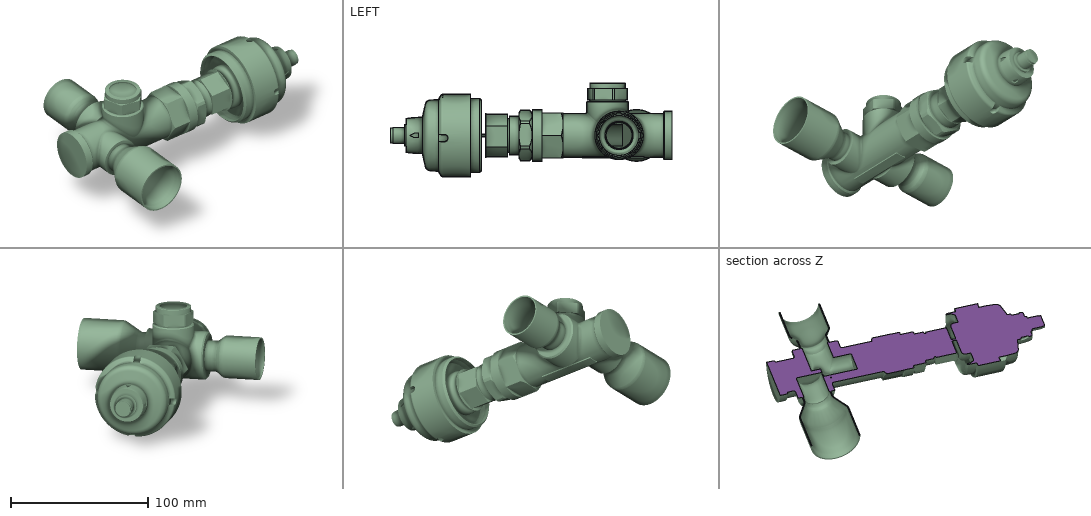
import cadquery as cq
import math

TOTAL_LENGTH = 205.5

BODY_RADIUS = 16.0
END_CAP_RADIUS = 17.7
END_CAP_HEIGHT = 6.4
END_CAP_CHAMFER = 0.8
PAD_WIDTH = 8.2
PAD_BOTTOM = -16.5
PAD_START_Y = 20.3
PAD_END_Y = 65.3

BODY_HEX_START_Y = 79.7
BODY_HEX_CORNER_RADIUS = 19.1
BODY_HEX_CHAMFER_RADIUS = 17.0
COLLAR_START_Y = 94.7
COLLAR_RADIUS = 19.0
LOCK_NUT_START_Y = 102.0
LOCK_NUT_CORNER_RADIUS = 19.1
LOCK_NUT_ANGLE = 1.3
LOCK_NUT_OUTER_RADIUS = 18.5
LOCK_NUT_CHAMFER_RADIUS = 16.5
NECK_START_Y = 111.8
NECK_RADIUS = 14.2
GROOVE_START_Y = 118.8
GROOVE_RADIUS = 12.5
TOP_HEX_START_Y = 120.0
TOP_HEX_END_Y = 136.0
TOP_HEX_CORNER_RADIUS = 15.6
TOP_HEX_ANGLE = 3.3
WASHER_RADIUS = 16.0
WASHER_THICKNESS = 0.3
HEX_HALF_ANGLE = 30
NUT_CHAMFER_ANGLE = 30
CHAMFER_SLOPE = math.tan(math.radians(NUT_CHAMFER_ANGLE))

HEAD_START_Y = 139.0
RIM_RADIUS = 27.1
RIM_CHAMFER = 1.5
RING_START_Y = 147.0
RING_RADIUS = 30.2
RING_SHOULDER_Y = 167.0
RING_BEVEL_RADIUS = 29.0
RING_BEVEL_Y = 169.0
RING_END_Y = 170.5
DOME_BASE_RADIUS = 26.3
DOME_SIDE_RADIUS = 25.9
DOME_SIDE_END_Y = 176.3
DOME_SHOULDER_RADIUS = 22.5
DOME_SHOULDER_Y = 180.2
GLAND_START_Y = 182.3
GLAND_RADIUS = 13.4
GLAND_STRAIGHT_END_Y = 185.4
GLAND_END_Y = 194.0
GLAND_END_RADIUS = 12.3
GLAND_BULGE = 0.2
CABLE_FLANGE_RADIUS = 7.8
CABLE_FLANGE_END_Y = 195.5
CABLE_RADIUS = 6.0
CABLE_TIP_RADIUS = 5.5
CABLE_TIP_LENGTH = 1.8
HEAD_BORE_RADIUS = 23.6
HEAD_BORE_END_Y = 145.5
HEAD_MOUTH_RADIUS = 25.5
HEAD_MOUTH_END_Y = 142.8
INNER_COLLAR_RADIUS = 16.5
INNER_COLLAR_START_Y = 139.1
INNER_COLLAR_FILLET = 3.0
SPINDLE_RADIUS = 1.0
NOTCH_WIDTH = 5.1
NOTCH_END_Y = 163.5
NOTCH_ANGLE = 4.0
MARK_HALF_WIDTH = 1.6
MARK_START_Y = 185.2
MARK_SHOULDER_Y = 188.0
MARK_TIP_Y = 191.3
MARK_FLOOR_RADIUS = 12.0
MARKS_AROUND_HEAD = 4

LEFT_Y = 38.6
LEFT_BOSS_RADIUS = 17.7
LEFT_BOSS_X = -23.8
LEFT_BOSS_END_X = -6.8
LEFT_BOSS_CHAMFER = 1.0
LEFT_PIPE_RADIUS = 15.6
LEFT_PIPE_END_X = -63.0
LEFT_PIPE_INNER_X = -36.8
LEFT_NECK_RADIUS = 11.3
LEFT_NECK_X = -31.6
LEFT_CONE_BLEND = 4.5

RIGHT_Y = 25.9
RIGHT_BOSS_RADIUS = 14.2
RIGHT_BOSS_X = 24.0
RIGHT_PIPE_RADIUS = 19.0
RIGHT_PIPE_END_X = 73.0
RIGHT_PIPE_INNER_X = 42.3
RIGHT_NECK_RADIUS = 11.0
RIGHT_NECK_X = 29.4
RIGHT_BORE_END_X = 4.1
RIGHT_CONE_BLEND = 4.7

PIPE_WALL = 1.0
PORT_BORE_RADIUS = 9.5
CHAMBER_RADIUS = 7.8
CHAMBER_START_Y = 36.2
CHAMBER_END_Y = 61.6

GLASS_Y = 47.0
GLASS_BOSS_RADIUS = 15.2
GLASS_BOSS_TOP = 24.9
GLASS_BOSS_CHAMFER = 0.6
GLASS_HEX_START = 25.9
GLASS_HEX_TOP = 34.3
GLASS_HEX_APOTHEM = 13.2
GLASS_HEX_OUTER_RADIUS = 14.8
GLASS_HEX_ANGLE = 17.5
GLASS_RING_RADIUS = 13.0
GLASS_RING_TOP = 38.2
GLASS_RING_CHAMFER = 0.2
GLASS_WINDOW_RADIUS = 10.0
GLASS_WINDOW_DEPTH = 1.0

JUNCTION_FILLET = 1.2


def along_y(start, end):
    """Workplane facing +Y, shifted to a start height; returns it with the length to extrude."""
    plane = cq.Plane(origin=(0, start, 0), xDir=(1, 0, 0), normal=(0, 1, 0))
    return cq.Workplane(plane), end - start


def disc(radius, start, end):
    plane, length = along_y(start, end)
    return plane.circle(radius).extrude(length)


def hexagon(corner_radius, start, end, angle):
    """Hexagonal prism along Y; a corner points to +X at angle 0."""
    plane, length = along_y(start, end)
    prism = plane.polygon(6, 2 * corner_radius).extrude(length)
    return prism.rotate((0, 0, 0), (0, 1, 0), angle)


def turned(points):
    """Solid turned about Y from (radius, y) points; the ends close on the axis."""
    profile = [(0, points[0][1])] + points + [(0, points[-1][1])]
    return cq.Workplane("XY").polyline(profile).close().revolve(360, (0, 0, 0), (0, 1, 0))


def turned_about_x(points, y):
    """Solid turned about a line parallel to X at height y, from (x, radius) points."""
    profile = [(points[0][0], 0)] + points + [(points[-1][0], 0)]
    plane = cq.Workplane("XY", origin=(0, y, 0))
    return plane.polyline(profile).close().revolve(360, (0, 0, 0), (1, 0, 0))


def make_body():
    """Tubular body with its three bosses, blended where they meet."""
    tube = disc(BODY_RADIUS, END_CAP_HEIGHT, BODY_HEX_START_Y)
    left = turned_about_x([
        (LEFT_BOSS_X, LEFT_BOSS_RADIUS - LEFT_BOSS_CHAMFER),
        (LEFT_BOSS_X + LEFT_BOSS_CHAMFER, LEFT_BOSS_RADIUS),
        (LEFT_BOSS_END_X, LEFT_BOSS_RADIUS),
    ], LEFT_Y)
    right = turned_about_x([(0, RIGHT_BOSS_RADIUS), (RIGHT_BOSS_X, RIGHT_BOSS_RADIUS)], RIGHT_Y)
    glass = cq.Workplane("XY", origin=(0, GLASS_Y, 0)).circle(GLASS_BOSS_RADIUS).extrude(GLASS_BOSS_TOP)
    glass = glass.faces(">Z").chamfer(GLASS_BOSS_CHAMFER)
    cap = disc(END_CAP_RADIUS, 0, END_CAP_HEIGHT).faces(">Y").chamfer(END_CAP_CHAMFER)
    pad = cq.Workplane("XY").box(
        PAD_WIDTH, PAD_END_Y - PAD_START_Y, -PAD_BOTTOM, centered=(True, False, False)
    ).translate((0, PAD_START_Y, PAD_BOTTOM))
    body = tube.union(left).union(right).union(glass)
    body = body.edges("%BSPLINE").fillet(JUNCTION_FILLET)
    return body.union(cap).union(pad)


def make_upper_fittings():
    """Hexagons, collar and grooved neck between the body and the motor head."""
    body_hex = hexagon(BODY_HEX_CORNER_RADIUS, BODY_HEX_START_Y, COLLAR_START_Y, 0)
    body_hex_rise = (BODY_HEX_CORNER_RADIUS - BODY_HEX_CHAMFER_RADIUS) * CHAMFER_SLOPE
    body_hex = body_hex.intersect(turned([
        (BODY_HEX_CHAMFER_RADIUS, BODY_HEX_START_Y),
        (BODY_HEX_CORNER_RADIUS, BODY_HEX_START_Y + body_hex_rise),
        (BODY_HEX_CORNER_RADIUS, COLLAR_START_Y),
    ]))
    collar = disc(COLLAR_RADIUS, COLLAR_START_Y, LOCK_NUT_START_Y)
    nut_turn = HEX_HALF_ANGLE + LOCK_NUT_ANGLE
    nut = hexagon(LOCK_NUT_CORNER_RADIUS, LOCK_NUT_START_Y, NECK_START_Y, nut_turn)
    nut_rise = LOCK_NUT_OUTER_RADIUS - LOCK_NUT_CHAMFER_RADIUS
    nut = nut.intersect(turned([
        (LOCK_NUT_CHAMFER_RADIUS, LOCK_NUT_START_Y),
        (LOCK_NUT_OUTER_RADIUS, LOCK_NUT_START_Y + nut_rise),
        (LOCK_NUT_OUTER_RADIUS, NECK_START_Y - nut_rise * CHAMFER_SLOPE),
        (LOCK_NUT_CHAMFER_RADIUS, NECK_START_Y),
    ]))
    neck = disc(NECK_RADIUS, NECK_START_Y, GROOVE_START_Y)
    groove = disc(GROOVE_RADIUS, GROOVE_START_Y, TOP_HEX_START_Y)
    top_hex_turn = HEX_HALF_ANGLE - TOP_HEX_ANGLE
    top_hex = hexagon(TOP_HEX_CORNER_RADIUS, TOP_HEX_START_Y, TOP_HEX_END_Y, top_hex_turn)
    washer = disc(WASHER_RADIUS, TOP_HEX_END_Y - WASHER_THICKNESS, TOP_HEX_END_Y)
    fittings = body_hex
    for piece in (collar, nut, neck, groove, top_hex, washer):
        fittings = fittings.union(piece)
    return fittings


def make_motor_head():
    """Domed head with a hollow skirt, cable gland and cable end, joined to the valve by a spindle."""
    gland_middle = (
        (GLAND_RADIUS + GLAND_END_RADIUS) / 2 + GLAND_BULGE,
        (GLAND_STRAIGHT_END_Y + GLAND_END_Y) / 2,
    )
    head = (
        cq.Workplane("XY")
        .moveTo(0, HEAD_START_Y)
        .lineTo(RIM_RADIUS - RIM_CHAMFER, HEAD_START_Y)
        .lineTo(RIM_RADIUS, HEAD_START_Y + RIM_CHAMFER)
        .lineTo(RIM_RADIUS, RING_START_Y)
        .lineTo(RING_RADIUS, RING_START_Y)
        .lineTo(RING_RADIUS, RING_SHOULDER_Y)
        .tangentArcPoint((RING_BEVEL_RADIUS, RING_BEVEL_Y), relative=False)
        .lineTo(DOME_BASE_RADIUS, RING_END_Y)
        .lineTo(DOME_SIDE_RADIUS, DOME_SIDE_END_Y)
        .tangentArcPoint((DOME_SHOULDER_RADIUS, DOME_SHOULDER_Y), relative=False)
        .lineTo(GLAND_RADIUS, GLAND_START_Y)
        .lineTo(GLAND_RADIUS, GLAND_STRAIGHT_END_Y)
        .threePointArc(gland_middle, (GLAND_END_RADIUS, GLAND_END_Y))
        .lineTo(CABLE_FLANGE_RADIUS, GLAND_END_Y)
        .lineTo(CABLE_FLANGE_RADIUS, CABLE_FLANGE_END_Y)
        .lineTo(CABLE_RADIUS, CABLE_FLANGE_END_Y)
        .lineTo(CABLE_RADIUS, TOTAL_LENGTH - CABLE_TIP_LENGTH)
        .lineTo(CABLE_TIP_RADIUS, TOTAL_LENGTH - CABLE_TIP_LENGTH)
        .lineTo(CABLE_TIP_RADIUS, TOTAL_LENGTH)
        .lineTo(0, TOTAL_LENGTH)
        .close()
        .revolve(360, (0, 0, 0), (0, 1, 0))
    )
    bore = turned([
        (HEAD_MOUTH_RADIUS, HEAD_START_Y),
        (HEAD_MOUTH_RADIUS, HEAD_MOUTH_END_Y),
        (HEAD_BORE_RADIUS, HEAD_BORE_END_Y),
    ])
    inner_collar = disc(INNER_COLLAR_RADIUS, INNER_COLLAR_START_Y, HEAD_BORE_END_Y)
    inner_collar = inner_collar.faces("<Y").edges().fillet(INNER_COLLAR_FILLET)
    spindle = disc(SPINDLE_RADIUS, TOP_HEX_END_Y, HEAD_BORE_END_Y)
    head = head.cut(bore).union(inner_collar).union(spindle)

    notch = (
        cq.Workplane("XY", origin=(0, 0, DOME_BASE_RADIUS))
        .moveTo(-NOTCH_WIDTH / 2, RING_END_Y)
        .lineTo(-NOTCH_WIDTH / 2, NOTCH_END_Y + NOTCH_WIDTH / 2)
        .threePointArc((0, NOTCH_END_Y), (NOTCH_WIDTH / 2, NOTCH_END_Y + NOTCH_WIDTH / 2))
        .lineTo(NOTCH_WIDTH / 2, RING_END_Y)
        .close()
        .extrude(RING_RADIUS - DOME_BASE_RADIUS)
    )
    mark = (
        cq.Workplane("XY", origin=(0, 0, MARK_FLOOR_RADIUS))
        .polyline([
            (-MARK_HALF_WIDTH, MARK_START_Y),
            (MARK_HALF_WIDTH, MARK_START_Y),
            (MARK_HALF_WIDTH, MARK_SHOULDER_Y),
            (0, MARK_TIP_Y),
            (-MARK_HALF_WIDTH, MARK_SHOULDER_Y),
        ])
        .close()
        .extrude(GLAND_RADIUS - MARK_FLOOR_RADIUS)
    )
    for index in range(MARKS_AROUND_HEAD):
        turn = index * 360 / MARKS_AROUND_HEAD
        head = head.cut(notch.rotate((0, 0, 0), (0, 1, 0), turn - NOTCH_ANGLE))
        head = head.cut(mark.rotate((0, 0, 0), (0, 1, 0), turn))
    return head


def left_pipe(inset):
    """Left pipe as a solid bar, moved inward by inset, with a blended cone between pipe and neck."""
    bar = turned_about_x([
        (LEFT_PIPE_END_X, LEFT_PIPE_RADIUS - inset),
        (LEFT_PIPE_INNER_X, LEFT_PIPE_RADIUS - inset),
        (LEFT_NECK_X, LEFT_NECK_RADIUS - inset),
        (LEFT_BOSS_X, LEFT_NECK_RADIUS - inset),
    ], LEFT_Y)
    return bar.faces("%CONE").edges("%CIRCLE").fillet(LEFT_CONE_BLEND)


def right_pipe(inset):
    """Right pipe as a solid bar, moved inward by inset, with a blended cone between neck and pipe."""
    bar = turned_about_x([
        (RIGHT_BOSS_X, RIGHT_NECK_RADIUS - inset),
        (RIGHT_NECK_X, RIGHT_NECK_RADIUS - inset),
        (RIGHT_PIPE_INNER_X, RIGHT_PIPE_RADIUS - inset),
        (RIGHT_PIPE_END_X, RIGHT_PIPE_RADIUS - inset),
    ], RIGHT_Y)
    return bar.faces("%CONE").edges("%CIRCLE").fillet(RIGHT_CONE_BLEND)


def make_sight_glass():
    """Hexagon with trimmed corners and a recessed round window on the top boss."""
    plane = cq.Workplane("XY", origin=(0, GLASS_Y, GLASS_BOSS_TOP))
    height = GLASS_HEX_TOP - GLASS_HEX_START
    neck = plane.circle(GLASS_HEX_APOTHEM).extrude(GLASS_HEX_START - GLASS_BOSS_TOP)
    hex_plane = cq.Workplane("XY", origin=(0, GLASS_Y, GLASS_HEX_START))
    corner_radius = GLASS_HEX_APOTHEM / math.cos(math.radians(HEX_HALF_ANGLE))
    turned_plane = hex_plane.transformed(rotate=(0, 0, GLASS_HEX_ANGLE))
    nut = turned_plane.polygon(6, 2 * corner_radius).extrude(height)
    nut = nut.intersect(hex_plane.circle(GLASS_HEX_OUTER_RADIUS).extrude(height))
    ring_plane = cq.Workplane("XY", origin=(0, GLASS_Y, GLASS_HEX_TOP))
    ring = ring_plane.circle(GLASS_RING_RADIUS).extrude(GLASS_RING_TOP - GLASS_HEX_TOP)
    ring = ring.faces(">Z").chamfer(GLASS_RING_CHAMFER)
    ring = ring.faces(">Z").workplane().circle(GLASS_WINDOW_RADIUS).cutBlind(-GLASS_WINDOW_DEPTH)
    return neck.union(nut).union(ring)


def make_passages():
    """Hollow of both pipes and the chamber on the valve axis."""
    left_bore = turned_about_x([(LEFT_BOSS_X, PORT_BORE_RADIUS), (0, PORT_BORE_RADIUS)], LEFT_Y)
    right_bore = turned_about_x(
        [(RIGHT_BORE_END_X, PORT_BORE_RADIUS), (RIGHT_BOSS_X, PORT_BORE_RADIUS)], RIGHT_Y
    )
    chamber = disc(CHAMBER_RADIUS, CHAMBER_START_Y, CHAMBER_END_Y)
    left_passage = left_pipe(PIPE_WALL).union(left_bore)
    right_passage = right_pipe(PIPE_WALL).union(right_bore)
    return left_passage.union(right_passage).union(chamber)


result = make_body()
for part in (
    make_upper_fittings(),
    make_motor_head(),
    make_sight_glass(),
    left_pipe(0),
    right_pipe(0),
):
    result = result.union(part)
result = result.cut(make_passages())